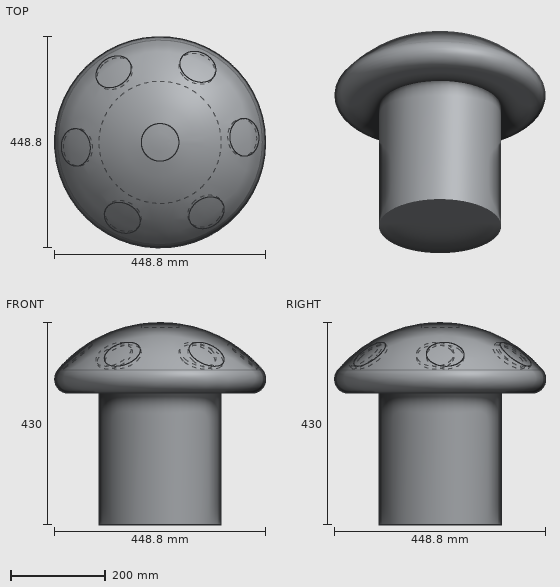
import cadquery as cq
import math

stem_diameter = 260.0
stem_height = 280.0

cap_height = 150.0
dome_radius = 285.0
rim_radius = 30.0

spot_diameter = 80.0
spot_depth = 10.0
ring_spot_count = 6
ring_spot_tilt = 39.5
ring_start_angle = 3.4

cap_top = stem_height + cap_height
dome_center_z = cap_top - dome_radius
rim_center_z = stem_height + rim_radius
rim_rise = rim_center_z - dome_center_z
rim_center_distance = dome_radius - rim_radius
rim_center_r = math.sqrt(rim_center_distance**2 - rim_rise**2)
rim_tangent_angle = math.atan2(rim_rise, rim_center_r)


def dome_point(elevation):
    """Point (r, z) of the dome profile at an elevation above the dome centre."""
    return (
        dome_radius * math.cos(elevation),
        dome_center_z + dome_radius * math.sin(elevation),
    )


def make_stem():
    return cq.Workplane("XY").circle(stem_diameter / 2).extrude(stem_height)


def make_solid_cap():
    """Revolve the half profile; the rim arc is tangent to the underside and the dome."""
    rim_end = dome_point(rim_tangent_angle)
    dome_middle = dome_point((rim_tangent_angle + math.pi / 2) / 2)
    rim_outermost = (rim_center_r + rim_radius, rim_center_z)
    return (
        cq.Workplane("XZ")
        .moveTo(0, stem_height)
        .lineTo(rim_center_r, stem_height)
        .threePointArc(rim_outermost, rim_end)
        .threePointArc(dome_middle, (0, cap_top))
        .close()
        .revolve(360, (0, 0), (0, 1))
    )


def make_spot(solid_cap, tilt, turn):
    """Plug along a radius of the dome, flat at the bottom and following the dome on top."""
    plug = (
        cq.Workplane("XY")
        .workplane(offset=cap_top - spot_depth)
        .circle(spot_diameter / 2)
        .extrude(2 * spot_depth)
        .rotate((0, 0, dome_center_z), (0, 1, dome_center_z), tilt)
        .rotate((0, 0, 0), (0, 0, 1), turn)
    )
    return plug.intersect(solid_cap).solids()


stem = make_stem()
solid_cap = make_solid_cap()

spots = [make_spot(solid_cap, 0, 0)]
for index in range(ring_spot_count):
    turn = ring_start_angle + index * 360 / ring_spot_count
    spots.append(make_spot(solid_cap, ring_spot_tilt, turn))

cap = solid_cap
for spot in spots:
    cap = cap.cut(spot).solids()

result = cq.Compound.makeCompound([stem.val(), cap.val(), *[spot.val() for spot in spots]])